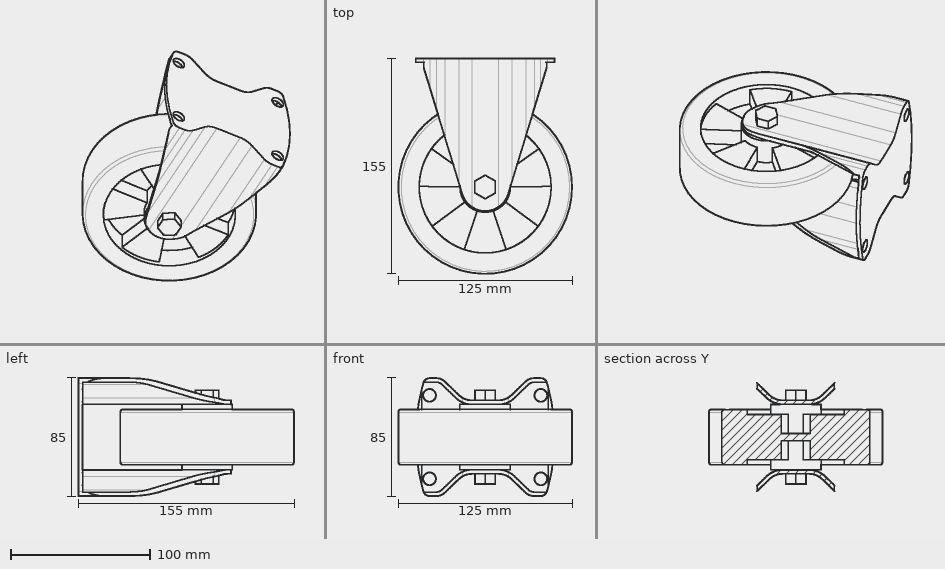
import cadquery as cq
import math


wheel_diameter = 125.0
wheel_width = 40.0
tread_fillet = 2.0
recess_diameter = 94.88
recess_depth = 3.7
web_thickness = 5.5
spoke_count = 5
spoke_angle = math.radians(37.0)
first_spoke_angle = math.radians(54.0)
spoke_overlap = 1.0
hub_diameter = 36.25
hub_length = 47.0

bolt_corner_diameter = 17.0
bolt_length = 67.5

plate_height = 85.0
plate_width = 100.0
plate_thickness = 3.0
plate_side_radius = 140.0
plate_corner_radius = 5.0
plate_back = 92.5
plate_edge_inset = 4.5
plate_edge_step = 0.1
mount_hole_diameter = 9.0
mount_hole_span_x = 80.0
mount_hole_span_z = 60.0

sheet_thickness = 3.0
valley_half_width = 9.5
valley_radius = 13.7
crest_radius = 8.9
bend_angle = math.radians(44.0)
leg_end_radius = 17.25
leg_taper = math.radians(17.0)

plate_top = plate_height / 2
leg_valley_z = hub_length / 2 + sheet_thickness
spoke_half_height = wheel_width / 2 - recess_depth


def polar(radius, angle):
    return (radius * math.cos(angle), radius * math.sin(angle))


def make_wheel_body():
    """Solid of revolution: hub, web and rim, without the spokes."""
    hub_radius = hub_diameter / 2
    recess_radius = recess_diameter / 2
    wheel_radius = wheel_diameter / 2
    hub_end = hub_length / 2
    web_face = web_thickness / 2
    rim_face = wheel_width / 2
    fillet_end = rim_face - tread_fillet
    return (
        cq.Workplane("XZ")
        .moveTo(0, -hub_end)
        .lineTo(0, hub_end)
        .lineTo(hub_radius, hub_end)
        .lineTo(hub_radius, web_face)
        .lineTo(recess_radius, web_face)
        .lineTo(recess_radius, rim_face)
        .lineTo(wheel_radius - tread_fillet, rim_face)
        .radiusArc((wheel_radius, fillet_end), tread_fillet)
        .lineTo(wheel_radius, -fillet_end)
        .radiusArc((wheel_radius - tread_fillet, -rim_face), tread_fillet)
        .lineTo(recess_radius, -rim_face)
        .lineTo(recess_radius, -web_face)
        .lineTo(hub_radius, -web_face)
        .lineTo(hub_radius, -hub_end)
        .close()
        .revolve(360, (0, 0, 0), (0, 1, 0))
    )


def make_spoke(middle):
    """Wedge standing on both sides of the web, with its ends buried in the hub and rim."""
    start = middle - spoke_angle / 2
    end = middle + spoke_angle / 2
    inner = hub_diameter / 2 - spoke_overlap
    outer = recess_diameter / 2 + spoke_overlap
    return (
        cq.Workplane("XY", origin=(0, 0, -spoke_half_height))
        .moveTo(*polar(inner, start))
        .lineTo(*polar(outer, start))
        .threePointArc(polar(outer, middle), polar(outer, end))
        .lineTo(*polar(inner, end))
        .close()
        .extrude(2 * spoke_half_height)
    )


def make_wheel():
    wheel = make_wheel_body()
    for index in range(spoke_count):
        wheel = wheel.union(make_spoke(first_spoke_angle + index * 2 * math.pi / spoke_count))
    return wheel


def make_bolt():
    """Hexagonal bar along the axle whose ends form the bolt head and the nut."""
    return (
        cq.Workplane("XY", origin=(0, 0, -bolt_length / 2))
        .polygon(6, bolt_corner_diameter)
        .extrude(bolt_length)
        .rotate((0, 0, 0), (0, 0, 1), 90)
    )


def plate_outline(depth):
    """Plate shape with bowed sides and rounded corners, from the back face toward -Y."""
    half_width = plate_width / 2
    side_sag = plate_side_radius - math.sqrt(plate_side_radius**2 - plate_top**2)
    corner_x = half_width - side_sag
    return (
        cq.Workplane("XZ", origin=(0, plate_back, 0))
        .moveTo(-corner_x, plate_top)
        .lineTo(corner_x, plate_top)
        .threePointArc((half_width, 0), (corner_x, -plate_top))
        .lineTo(-corner_x, -plate_top)
        .threePointArc((-half_width, 0), (-corner_x, plate_top))
        .close()
        .extrude(depth)
        .edges("|Y")
        .fillet(plate_corner_radius)
    )


def below_surface(offset):
    """Solid on the +X side, below the leg's outer surface lowered by the given offset."""
    valley_r = valley_radius + offset
    crest_r = crest_radius - offset
    arc_drop = (valley_radius + crest_radius) * (1 - math.cos(bend_angle))
    slope_run = (plate_top - leg_valley_z - arc_drop) / math.tan(bend_angle)
    crest_x = valley_half_width + slope_run + (valley_radius + crest_radius) * math.sin(bend_angle)
    valley_center_z = leg_valley_z + valley_radius
    crest_center_z = plate_top - crest_radius

    def on_valley(angle):
        return (
            valley_half_width + valley_r * math.sin(angle),
            valley_center_z - valley_r * math.cos(angle),
        )

    def on_crest(angle):
        return (crest_x - crest_r * math.sin(angle), crest_center_z + crest_r * math.cos(angle))

    return (
        cq.Workplane("XZ", origin=(0, plate_back, 0))
        .moveTo(0, 0)
        .lineTo(0, leg_valley_z - offset)
        .lineTo(*on_valley(0))
        .threePointArc(on_valley(bend_angle / 2), on_valley(bend_angle))
        .lineTo(*on_crest(bend_angle))
        .threePointArc(on_crest(bend_angle / 2), on_crest(0))
        .lineTo(plate_width / 2, plate_top - offset)
        .lineTo(plate_width / 2, 0)
        .close()
        .extrude(plate_back + leg_end_radius)
    )


def leg_planform():
    """Leg seen along the axle: round end at the axle, widening to the plate."""
    tangent_x = leg_end_radius * math.cos(leg_taper)
    tangent_y = -leg_end_radius * math.sin(leg_taper)
    root_x = tangent_x + (plate_back - tangent_y) * math.tan(leg_taper)
    return (
        cq.Workplane("XY")
        .moveTo(tangent_x, tangent_y)
        .lineTo(root_x, plate_back)
        .lineTo(-root_x, plate_back)
        .lineTo(-tangent_x, tangent_y)
        .threePointArc((0, -leg_end_radius), (tangent_x, tangent_y))
        .close()
        .extrude(plate_top)
    )


def make_plate(filled):
    """Drilled plate within the filled fork section, slightly thinner along its bowed side edges."""
    holes = (
        cq.Workplane("XZ", origin=(0, plate_back, 0))
        .rect(mount_hole_span_x, mount_hole_span_z, forConstruction=True)
        .vertices()
        .circle(mount_hole_diameter / 2)
        .extrude(plate_thickness)
    )
    middle_pad = (
        cq.Workplane("XZ", origin=(0, plate_back, 0))
        .rect(plate_width - 2 * plate_edge_inset, plate_height)
        .extrude(plate_thickness)
    )
    edge_layer = plate_outline(plate_thickness - plate_edge_step)
    full_layer = plate_outline(plate_thickness).intersect(middle_pad)
    return edge_layer.union(full_layer).intersect(filled).cut(holes)


def make_fork():
    outline = plate_outline(plate_back + leg_end_radius)
    filled_half = below_surface(0)
    sheet_half = filled_half.cut(below_surface(sheet_thickness))
    sheet = sheet_half.union(sheet_half.mirror("YZ"))
    leg = sheet.intersect(leg_planform()).intersect(outline)

    filled_upper = filled_half.union(filled_half.mirror("YZ"))
    filled = filled_upper.union(filled_upper.mirror("XY"))
    plate = make_plate(filled)
    return plate.union(leg).union(leg.mirror("XY"))


result = make_fork().union(make_wheel()).union(make_bolt())